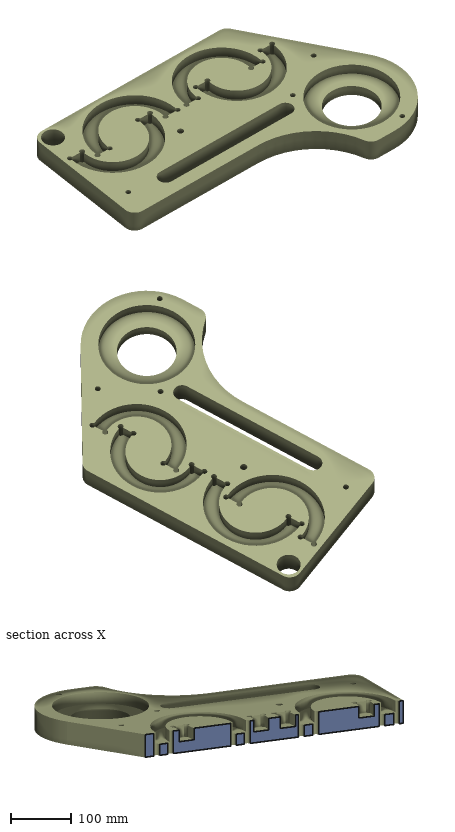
import cadquery as cq
import math

THICKNESS = 40.0
LENGTH = 580.0
WIDTH = 380.0
BODY_WIDTH = 260.5
LEFT_CORNER_Y = 420.0
CORNER_RADIUS = 20.5

HEAD_RADIUS = 110.0
HEAD_X = WIDTH - HEAD_RADIUS
HEAD_Y = LENGTH - HEAD_RADIUS
BORE_DIAMETER = 100.0
COUNTERBORE_DIAMETER = 162.0

NECK_RADIUS = 150.0
NECK_Y = 272.5
NECK_X = BODY_WIDTH + NECK_RADIUS

POCKET_DEPTH = THICKNESS / 2

SLOT_X = 220.5
SLOT_WIDTH = 30.0
SLOT_BOTTOM = 90.0
SLOT_TOP = 381.5

SMALL_DIAMETER = 10.0
SMALL_HOLES = [(149.5, 488.0), (360.0, 503.0), (202.5, 397.5), (209.0, 32.5)]
PIN_DIAMETER = 12.0
PIN_HOLE = (149.5, 197.0)
CORNER_HOLE_DIAMETER = 40.0
CORNER_HOLE = (24.5, 25.0)

RIGHT_GROOVE_END_X = 82.5
LEFT_GROOVE_END_X = 106.0
GROOVE_END_LENGTH = 7.0
RELIEF_DIAMETER = 10.0
UPPER_RADII = (83.5, 58.0)
LOWER_RADII = (87.5, 61.0)
UPPER_RIGHT_Y = 371.0
UPPER_LEFT_Y = 330.5
LOWER_RIGHT_Y = 100.5
LOWER_LEFT_Y = 140.5


def on_circle(center_x, center_y, radius, angle):
    """Point on a circle at an angle in radians."""
    return center_x + radius * math.cos(angle), center_y + radius * math.sin(angle)


def make_plate():
    corner_distance = math.hypot(HEAD_X, HEAD_Y - LEFT_CORNER_Y)
    corner_direction = math.pi + math.atan2(HEAD_Y - LEFT_CORNER_Y, HEAD_X)
    tangent_angle = corner_direction - math.acos(HEAD_RADIUS / corner_distance)
    tangent_point = on_circle(HEAD_X, HEAD_Y, HEAD_RADIUS, tangent_angle)
    head_middle = on_circle(HEAD_X, HEAD_Y, HEAD_RADIUS, tangent_angle / 2)

    neck_end_angle = math.acos((WIDTH - NECK_X) / NECK_RADIUS)
    neck_end = on_circle(NECK_X, NECK_Y, NECK_RADIUS, neck_end_angle)
    neck_middle = on_circle(NECK_X, NECK_Y, NECK_RADIUS, (neck_end_angle + math.pi) / 2)

    plate = (
        cq.Workplane("XY")
        .moveTo(0, 0)
        .lineTo(BODY_WIDTH, 0)
        .lineTo(BODY_WIDTH, NECK_Y)
        .threePointArc(neck_middle, neck_end)
        .lineTo(WIDTH, HEAD_Y)
        .threePointArc(head_middle, tangent_point)
        .lineTo(0, LEFT_CORNER_Y)
        .close()
        .extrude(THICKNESS)
    )
    corners = [(0, 0), (BODY_WIDTH, 0), neck_end, (0, LEFT_CORNER_Y)]
    for x, y in corners:
        corner_edge = cq.selectors.NearestToPointSelector((x, y, THICKNESS / 2))
        plate = plate.edges("|Z").edges(corner_edge).fillet(CORNER_RADIUS)
    return plate


def through_holes(points, diameter):
    return cq.Workplane("XY").pushPoints(points).circle(diameter / 2).extrude(THICKNESS)


def make_slot():
    return (
        cq.Workplane("XY")
        .center(SLOT_X, (SLOT_BOTTOM + SLOT_TOP) / 2)
        .slot2D(SLOT_TOP - SLOT_BOTTOM, SLOT_WIDTH, 90)
        .extrude(THICKNESS)
    )


def make_groove(end_x, center_y, radii, side):
    """Half-ring groove bulging toward +X (side = 1) or -X (side = -1)."""
    outer, inner = radii
    arc_x = end_x + side * GROOVE_END_LENGTH
    groove = (
        cq.Workplane("XY", origin=(0, 0, THICKNESS - POCKET_DEPTH))
        .moveTo(end_x, center_y + outer)
        .lineTo(arc_x, center_y + outer)
        .threePointArc((arc_x + side * outer, center_y), (arc_x, center_y - outer))
        .lineTo(end_x, center_y - outer)
        .lineTo(end_x, center_y - inner)
        .lineTo(arc_x, center_y - inner)
        .threePointArc((arc_x + side * inner, center_y), (arc_x, center_y + inner))
        .lineTo(end_x, center_y + inner)
        .close()
        .extrude(POCKET_DEPTH)
    )
    relief_points = [(end_x, center_y + offset) for offset in (outer, inner, -inner, -outer)]
    return groove.union(through_holes(relief_points, RELIEF_DIAMETER))


result = make_plate()

result = result.cut(through_holes([(HEAD_X, HEAD_Y)], BORE_DIAMETER))
counterbore = (
    cq.Workplane("XY", origin=(HEAD_X, HEAD_Y, THICKNESS - POCKET_DEPTH))
    .circle(COUNTERBORE_DIAMETER / 2)
    .extrude(POCKET_DEPTH)
)
result = result.cut(counterbore)

result = result.cut(make_slot())
result = result.cut(through_holes(SMALL_HOLES, SMALL_DIAMETER))
result = result.cut(through_holes([PIN_HOLE], PIN_DIAMETER))
result = result.cut(through_holes([CORNER_HOLE], CORNER_HOLE_DIAMETER))

for right_y, left_y, groove_radii in (
    (UPPER_RIGHT_Y, UPPER_LEFT_Y, UPPER_RADII),
    (LOWER_RIGHT_Y, LOWER_LEFT_Y, LOWER_RADII),
):
    result = result.cut(make_groove(RIGHT_GROOVE_END_X, right_y, groove_radii, 1))
    result = result.cut(make_groove(LEFT_GROOVE_END_X, left_y, groove_radii, -1))